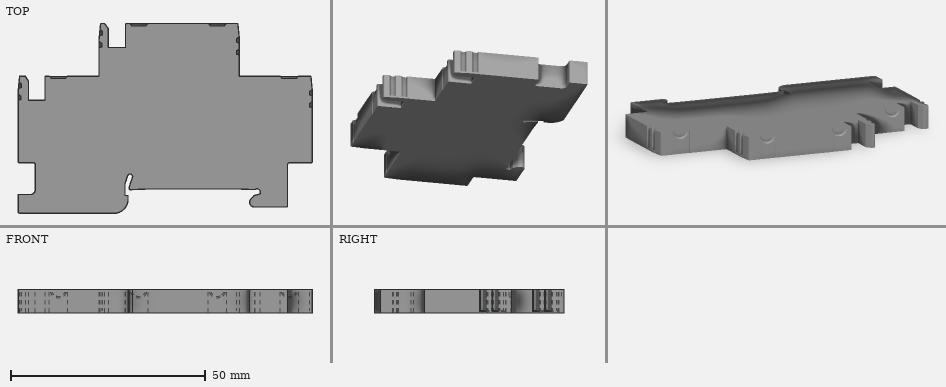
import cadquery as cq

LENGTH = 75.7
HEIGHT = 48.8
THICKNESS = 6.1

SHOULDER_Y = 35.3
BELLY_Y = 12.95
RAIL_Y = 6.2
RAIL_END_Y = 6.05
RAIL_FLAT_LEFT = 33.45
RAIL_FLAT_RIGHT = 56.55
TOWER_LEFT = 20.8
TOWER_RIGHT = 56.9

FINGER_TAPER = 0.4
TAPER_HEIGHT = 3.9
LOW_FINGER_WIDTH = 2.7
HIGH_FINGER_WIDTH = 2.4
HIGH_FINGER_FLAT = 1.45
LOW_FINGER_FLAT = 1.9
FINGER_BEVEL = 1.4
LOW_SLOT_RIGHT = 6.9
HIGH_SLOT_RIGHT = 27.6
SLOT_DEPTH = 6.2

ARM_TOP_Y = 4.85
ARM_NECK_X = 4.4
ARM_NOSE_X = 28.3
ARM_NOSE_TOP_Y = 4.6
ARM_NOSE_BOTTOM_Y = 3.2
ARM_BACK_X = 27.55
SPRING_BEND_Y = 7.65
ARM_FLAT_RIGHT = 25.3

FOOT_RIGHT = 69.35
FOOT_Y = 1.6
UNDERCUT_X = 62.2

NOTCH_HEIGHT = 1.7
NOTCH_DEPTH = 0.72
NOTCH_UPPER_SLANT = 0.5
NOTCH_LOWER_SLANT = 0.2
NOTCH_FLOOR_OUTER = 0.42
NOTCH_FLOOR_INNER = 0.64
LEFT_NOTCH_DROP = 2.35
RIGHT_NOTCH_DROP = 4.25
NOTCH_PITCH = 3.1
NOTCH_OVERCUT = 0.75
NOTCHES_PER_WALL = 2

TOWER_DIMPLE_X = (31.0, 51.25)
LOW_DIMPLE_X = (10.4, 69.7)
RECESS_WIDTH = 4.7
RECESS_DEPTH = 0.1
DIMPLE_MOUTH_R = 2.2
DIMPLE_FLOOR_R = 1.8
DIMPLE_DEPTH = 0.6

EDGE_R = 0.4
NECK_R = 1.2


def make_plate():
    """The extruded housing outline, counter-clockwise from the lower left."""
    taper_low = SHOULDER_Y - TAPER_HEIGHT
    taper_high = HEIGHT - TAPER_HEIGHT
    low_finger_right = LOW_FINGER_WIDTH
    high_finger_right = TOWER_LEFT + HIGH_FINGER_WIDTH
    outline = (
        cq.Workplane("XY")
        .moveTo(0, 0)
        .lineTo(ARM_FLAT_RIGHT, 0)
        .threePointArc((27.4, 1.2), (ARM_NOSE_X, ARM_NOSE_BOTTOM_Y))
        .lineTo(ARM_NOSE_X, ARM_NOSE_TOP_Y)
        .lineTo(ARM_BACK_X, ARM_NOSE_TOP_Y)
        .lineTo(ARM_BACK_X, SPRING_BEND_Y)
        .lineTo(28.15, 9.55)
        .threePointArc((28.85, 10.1), (29.45, 9.5))
        .lineTo(28.55, 6.65)
        .threePointArc((28.6, 6.2), (29.4, RAIL_END_Y))
        .lineTo(RAIL_FLAT_LEFT, RAIL_Y)
        .lineTo(RAIL_FLAT_RIGHT, RAIL_Y)
        .lineTo(60.9, RAIL_END_Y)
        .threePointArc((61.8, 6.2), (UNDERCUT_X, 5.75))
        .lineTo(UNDERCUT_X, 5.0)
        .lineTo(60.8, 4.6)
        .lineTo(59.8, 3.6)
        .threePointArc((59.65, 2.3), (60.7, FOOT_Y))
        .lineTo(FOOT_RIGHT, FOOT_Y)
        .lineTo(FOOT_RIGHT, BELLY_Y)
        .lineTo(LENGTH, BELLY_Y)
        .lineTo(LENGTH, taper_low)
        .lineTo(LENGTH - FINGER_TAPER, SHOULDER_Y)
        .lineTo(TOWER_RIGHT, SHOULDER_Y)
        .lineTo(TOWER_RIGHT, taper_high)
        .lineTo(TOWER_RIGHT - FINGER_TAPER, HEIGHT)
        .lineTo(HIGH_SLOT_RIGHT, HEIGHT)
        .lineTo(HIGH_SLOT_RIGHT, HEIGHT - SLOT_DEPTH)
        .lineTo(high_finger_right, HEIGHT - SLOT_DEPTH)
        .lineTo(high_finger_right, HEIGHT - FINGER_BEVEL)
        .lineTo(TOWER_LEFT + HIGH_FINGER_FLAT, HEIGHT)
        .lineTo(TOWER_LEFT + FINGER_TAPER, HEIGHT)
        .lineTo(TOWER_LEFT, taper_high)
        .lineTo(TOWER_LEFT, SHOULDER_Y)
        .lineTo(LOW_SLOT_RIGHT, SHOULDER_Y)
        .lineTo(LOW_SLOT_RIGHT, SHOULDER_Y - SLOT_DEPTH)
        .lineTo(low_finger_right, SHOULDER_Y - SLOT_DEPTH)
        .lineTo(low_finger_right, SHOULDER_Y - FINGER_BEVEL)
        .lineTo(LOW_FINGER_FLAT, SHOULDER_Y)
        .lineTo(FINGER_TAPER, SHOULDER_Y)
        .lineTo(0, taper_low)
        .lineTo(0, BELLY_Y)
        .lineTo(ARM_NECK_X, BELLY_Y)
        .lineTo(ARM_NECK_X, ARM_TOP_Y)
        .lineTo(0, ARM_TOP_Y)
        .close()
    )
    return outline.extrude(THICKNESS)


def round_corners(plate, corners, radius):
    """Fillet the upright edges nearest to the given outline corners."""
    for x, y in corners:
        edge = cq.selectors.NearestToPointSelector((x, y, THICKNESS / 2))
        plate = plate.edges("|Z").edges(edge).fillet(radius)
    return plate


def wall_lean(drop):
    """Sideways offset of a leaning wall at a distance below the top of its step."""
    return FINGER_TAPER * max(0, 1 - drop / TAPER_HEIGHT)


def grip_notch(wall_x, centre_y, inward):
    """A notch open to +Z; inward is +1 for a left wall and -1 for a right wall."""
    half = NOTCH_HEIGHT / 2
    back_x = wall_x + inward * NOTCH_DEPTH
    pocket = (
        cq.Workplane("XY")
        .polyline([
            (wall_x - inward * NOTCH_OVERCUT, centre_y - half),
            (wall_x, centre_y - half),
            (back_x, centre_y - half + NOTCH_LOWER_SLANT),
            (back_x, centre_y + half - NOTCH_UPPER_SLANT),
            (wall_x, centre_y + half),
            (wall_x - inward * NOTCH_OVERCUT, centre_y + half),
        ])
        .close()
        .extrude(THICKNESS)
    )
    slope = (NOTCH_FLOOR_INNER - NOTCH_FLOOR_OUTER) / NOTCH_DEPTH
    above_floor = (
        cq.Workplane("XZ", origin=(0, centre_y + half, 0))
        .polyline([
            (wall_x - inward * NOTCH_OVERCUT, NOTCH_FLOOR_OUTER - slope * NOTCH_OVERCUT),
            (back_x, NOTCH_FLOOR_INNER),
            (back_x, THICKNESS),
            (wall_x - inward * NOTCH_OVERCUT, THICKNESS),
        ])
        .close()
        .extrude(NOTCH_HEIGHT)
    )
    return pocket.intersect(above_floor)


def screw_dimple(x, top_y):
    """A shallow recess across the edge with half a countersink open to +Z below it."""
    floor_y = top_y - RECESS_DEPTH
    recess = cq.Workplane("XY").box(
        RECESS_WIDTH, RECESS_DEPTH, THICKNESS, centered=(True, False, False)
    ).translate((x, floor_y, 0))
    cone = cq.Solid.makeCone(
        DIMPLE_MOUTH_R, DIMPLE_FLOOR_R, DIMPLE_DEPTH,
        cq.Vector(x, floor_y, THICKNESS), cq.Vector(0, -1, 0),
    )
    return recess.union(cq.Workplane(obj=cone))


result = make_plate()
result = round_corners(
    result,
    [
        (0, 0), (0, BELLY_Y), (ARM_NECK_X, BELLY_Y),
        (FOOT_RIGHT, FOOT_Y), (FOOT_RIGHT, BELLY_Y), (LENGTH, BELLY_Y),
        (LENGTH - FINGER_TAPER, SHOULDER_Y), (TOWER_RIGHT - FINGER_TAPER, HEIGHT),
        (HIGH_SLOT_RIGHT, HEIGHT), (LOW_SLOT_RIGHT, SHOULDER_Y),
        (TOWER_LEFT + FINGER_TAPER, HEIGHT),
    ],
    EDGE_R,
)
result = round_corners(result, [(ARM_NECK_X, ARM_TOP_Y)], NECK_R)

for step_y, left_x, right_x in ((SHOULDER_Y, 0, LENGTH), (HEIGHT, TOWER_LEFT, TOWER_RIGHT)):
    for number in range(NOTCHES_PER_WALL):
        left_drop = LEFT_NOTCH_DROP + number * NOTCH_PITCH
        right_drop = RIGHT_NOTCH_DROP + number * NOTCH_PITCH
        left_wall = left_x + wall_lean(left_drop)
        right_wall = right_x - wall_lean(right_drop)
        result = result.cut(grip_notch(left_wall, step_y - left_drop, 1))
        result = result.cut(grip_notch(right_wall, step_y - right_drop, -1))

for x in TOWER_DIMPLE_X:
    result = result.cut(screw_dimple(x, HEIGHT))
for x in LOW_DIMPLE_X:
    result = result.cut(screw_dimple(x, SHOULDER_Y))